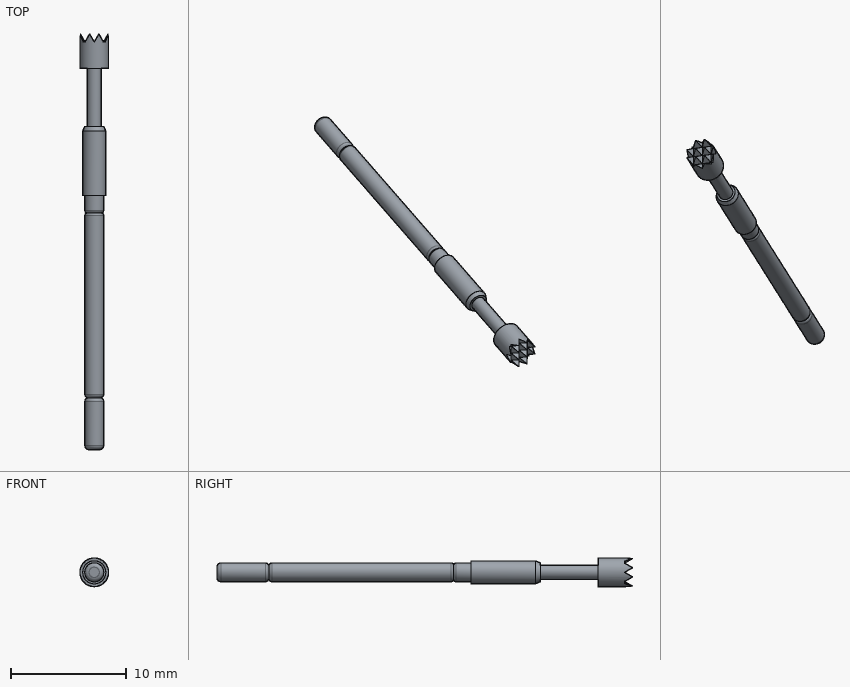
import cadquery as cq
import math

total_length = 36.0

head_diameter = 2.5
head_length = 3.0
groove_pitch = 0.8
groove_count = 3
groove_angle = 60.0

shaft_diameter = 1.25
shaft_length = 5.0

collar_diameter = 2.0
collar_length = 6.0
collar_taper_length = 0.4

barrel_diameter = 1.65
tail_radius = 0.38

front_crimp_at = 20.5
front_crimp_half_width = 0.22
front_crimp_depth = 0.2
rear_crimp_at = 4.5
rear_crimp_half_width = 0.3
rear_crimp_depth = 0.25

head_base_at = total_length - head_length
collar_top_at = head_base_at - shaft_length
collar_base_at = collar_top_at - collar_length

head_radius = head_diameter / 2
shaft_radius = shaft_diameter / 2
collar_radius = collar_diameter / 2
barrel_radius = barrel_diameter / 2


def add_crimp(profile, at, half_width, depth):
    """Draw one crimp along the barrel line: two arcs tangent to the barrel, meeting at depth."""
    shoulder_radius = (half_width**2 + depth**2) / (2 * depth)
    half_sweep = math.asin(half_width / shoulder_radius) / 2
    mid_offset = half_width - shoulder_radius * math.sin(half_sweep)
    mid_radius = barrel_radius - shoulder_radius * (1 - math.cos(half_sweep))
    return (
        profile.lineTo(barrel_radius, at - half_width)
        .threePointArc((mid_radius, at - mid_offset), (barrel_radius - depth, at))
        .threePointArc((mid_radius, at + mid_offset), (barrel_radius, at + half_width))
    )


def make_turned_body():
    """Revolve the half profile (radius along X, length along Y) about the Y axis."""
    tail_flat_radius = barrel_radius - tail_radius
    tail_arc_mid = tail_radius * math.sqrt(0.5)
    profile = (
        cq.Workplane("XY")
        .lineTo(tail_flat_radius, 0)
        .threePointArc(
            (tail_flat_radius + tail_arc_mid, tail_radius - tail_arc_mid),
            (barrel_radius, tail_radius),
        )
    )
    profile = add_crimp(profile, rear_crimp_at, rear_crimp_half_width, rear_crimp_depth)
    profile = add_crimp(profile, front_crimp_at, front_crimp_half_width, front_crimp_depth)
    return (
        profile.lineTo(barrel_radius, collar_base_at)
        .lineTo(collar_radius, collar_base_at)
        .lineTo(collar_radius, collar_top_at - collar_taper_length)
        .lineTo(barrel_radius, collar_top_at)
        .lineTo(shaft_radius, collar_top_at)
        .lineTo(shaft_radius, head_base_at)
        .lineTo(head_radius, head_base_at)
        .lineTo(head_radius, total_length)
        .lineTo(0, total_length)
        .close()
        .revolve(360, (0, 0, 0), (0, 1, 0))
    )


def make_tooth_grooves():
    """Parallel V grooves running along Z across the head, meeting in sharp ridges."""
    half_pitch = groove_pitch / 2
    groove_depth = half_pitch / math.tan(math.radians(groove_angle / 2))
    groove_bottom = total_length - groove_depth
    first_groove = -(groove_count - 1) / 2 * groove_pitch
    grooves = cq.Workplane("XY")
    for index in range(groove_count):
        center = first_groove + index * groove_pitch
        groove = (
            cq.Workplane("XY")
            .moveTo(center - half_pitch, total_length)
            .lineTo(center, groove_bottom)
            .lineTo(center + half_pitch, total_length)
            .close()
            .extrude(head_diameter, both=True)
        )
        grooves = grooves.add(groove)
    return grooves.combine()


def cut_teeth(body):
    """Cross two sets of V grooves to leave a grid of sharp teeth on the head."""
    grooves = make_tooth_grooves()
    crossing_grooves = grooves.rotate((0, 0, 0), (0, 1, 0), 90)
    return body.cut(grooves).cut(crossing_grooves)


result = cut_teeth(make_turned_body())